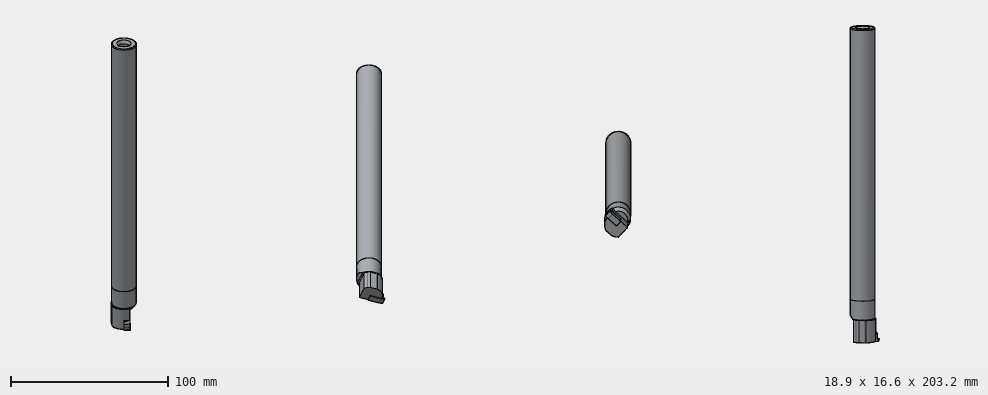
import cadquery as cq
import math

total_length = 203.2
shank_dia = 16.0
neck_dia = 15.8
neck_top = 27.5
neck_bottom = 15.2
shank_chamfer = 0.6

bore_dia = 6.5
bore_depth = 20.3
countersink_dia = 9.0
countersink_depth = 2.0

runout_bottom = 12.5
runout_end_dia = 11.8

head_bottom = 0.5
head_top = 14.8
head_dia = neck_dia
head_center = (0.5, -0.71)
head_turn = -15.0
back_flat = -5.5
rake_flat = 2.8
relief_flat = -8.03
relief_end = 2.2
round_begin = 2.8
side_corner = -5.9
bevel_mid = (-3.7, -7.3)
bevel_end = (-1.8, relief_flat)
flat_top = 14.0
ceiling_bend = (-6.0, 15.5)

insert_thickness = 4.0
insert_back = 0.5
insert_height = 6.5
nose_start = 7.7
tip_reach = 10.5
tip_height = 1.2
tip_lower = (10.2, 0.5)
shoulder_reach = 9.3
shoulder_bottom = 1.8
shoulder_top = 4.5
insert_top_reach = 8.1


def turned(body):
    """Turn a body from the head's own axes into the part's axes."""
    return body.rotate((0, 0, 0), (0, 0, 1), head_turn)


def make_shank():
    shank = (
        cq.Workplane("XY").workplane(offset=neck_top)
        .circle(shank_dia / 2).extrude(total_length - neck_top)
        .faces(">Z").chamfer(shank_chamfer)
    )
    neck = (
        cq.Workplane("XY").workplane(offset=neck_bottom)
        .circle(neck_dia / 2).extrude(neck_top - neck_bottom)
    )
    runout = (
        cq.Workplane("XY").workplane(offset=runout_bottom).circle(runout_end_dia / 2)
        .workplane(offset=neck_bottom - runout_bottom).circle(neck_dia / 2).loft()
    )
    return shank.union(neck).union(runout)


def make_bore():
    """Half section of the countersunk bore, revolved about Z."""
    floor = total_length - bore_depth
    return (
        cq.Workplane("XZ")
        .moveTo(0, floor)
        .lineTo(bore_dia / 2, floor)
        .lineTo(bore_dia / 2, total_length - countersink_depth)
        .lineTo(countersink_dia / 2, total_length)
        .lineTo(0, total_length)
        .close()
        .revolve(360, (0, 0, 0), (0, 1, 0))
    )


def make_head():
    """Prism with three flats, two bevels and a round side."""
    turn = math.radians(head_turn)
    center_u = head_center[0] * math.cos(turn) + head_center[1] * math.sin(turn)
    center_v = head_center[1] * math.cos(turn) - head_center[0] * math.sin(turn)
    radius = head_dia / 2
    round_start = (round_begin, center_v - math.sqrt(radius**2 - (round_begin - center_u)**2))
    round_middle = (center_u + radius, center_v)
    round_end = (center_u + math.sqrt(radius**2 - (rake_flat - center_v)**2), rake_flat)
    outline = (
        cq.Workplane("XY").workplane(offset=head_bottom)
        .moveTo(back_flat, rake_flat)
        .lineTo(back_flat, side_corner)
        .lineTo(*bevel_mid)
        .lineTo(*bevel_end)
        .lineTo(relief_end, relief_flat)
        .lineTo(*round_start)
        .threePointArc(round_middle, round_end)
        .close()
    )
    return turned(outline.extrude(head_top - head_bottom))


def make_back_cut():
    """Space behind the back flat, closed above by a steep slope and a 45 degree one."""
    reach = shank_dia
    section = (
        cq.Workplane("XZ")
        .moveTo(back_flat, 0)
        .lineTo(back_flat, flat_top)
        .lineTo(*ceiling_bend)
        .lineTo(ceiling_bend[0] - reach, ceiling_bend[1] + reach)
        .lineTo(ceiling_bend[0] - reach, 0)
        .close()
    )
    return turned(section.extrude(shank_dia, both=True))


def make_insert():
    profile = [
        (insert_back, 0),
        (nose_start, 0),
        tip_lower,
        (tip_reach, tip_height),
        (shoulder_reach, shoulder_bottom),
        (shoulder_reach, shoulder_top),
        (insert_top_reach, insert_height),
        (insert_back, insert_height),
    ]
    plate = cq.Workplane("XZ", origin=(0, rake_flat, 0)).polyline(profile).close()
    return turned(plate.extrude(insert_thickness))


insert = make_insert()
holder = make_shank().union(make_head()).cut(make_bore()).cut(make_back_cut()).cut(insert)

result = cq.Compound.makeCompound([holder.solids().val(), insert.val()])